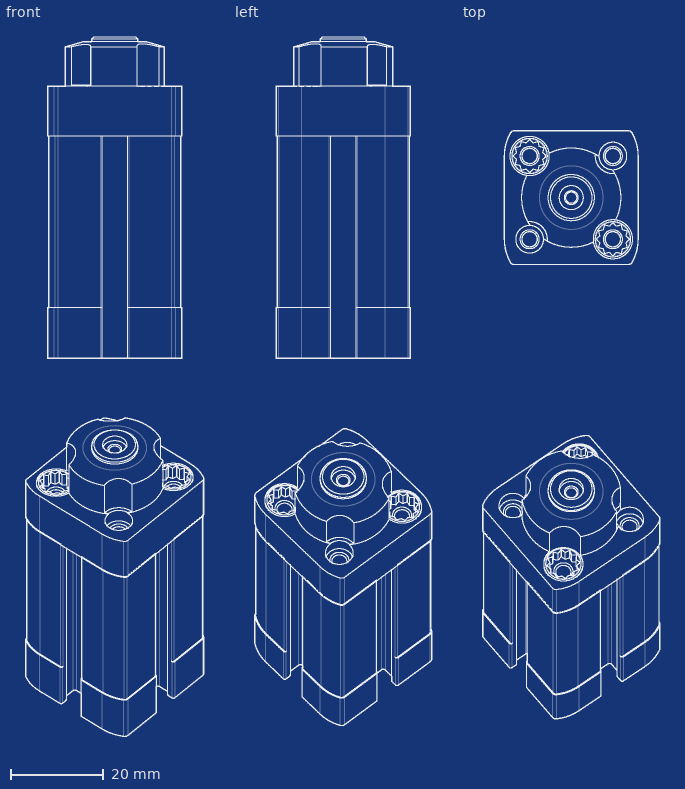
import cadquery as cq
import math

width = 29.0
total_height = 69.5
half_width = width / 2

cap_height = 11.0
head_height = 10.85
head_top = 58.9
head_bottom = head_top - head_height
tube_inset = 0.2

bolt_spacing = 18.0
bolt_offset = bolt_spacing / 2
side_arc_radius = 10.0
corner_radius = 1.0

slot_mouth_width = 5.4
slot_inner_width = 7.15
slot_depth = 5.35
slot_lip = 1.75
slot_mouth_radius = 0.4
slot_floor_radius = 0.55
slot_angles = (0, 90, 180, 270)

collar_diameter = 21.5
collar_flat_diameter = 13.75
collar_top = 68.45
collar_edge = 67.35
access_notch_diameter = 7.65
access_notch_floor = 0.2

bolt_hole_diameter = 3.3
bolt_countersink_diameter = 4.1
counterbore_diameter = 6.0
counterbore_depth = 3.0
screw_head_diameter = 8.5
screw_face_diameter = 7.65
screw_chamfer_depth = 0.5
socket_square = 5.1
socket_point_pitch = 30
socket_point_diameter = 7.1
socket_countersink_diameter = 7.4
socket_countersink_depth = 0.2
socket_depth = 3.35
counterbored_corners = ((-1, -1), (1, 1))
screw_corners = ((-1, 1), (1, -1))

rod_diameter = 10.0
rod_face_diameter = 9.0
rod_chamfer_height = 0.5
rod_bottom = head_bottom
rod_recess_diameter = 5.2
rod_recess_depth = 1.4
rod_hole_diameter = 2.4
rod_countersink_diameter = 3.0
rod_hole_depth = 6.95
drill_tip_angle = 118


def corner_at(signs):
    return (signs[0] * bolt_offset, signs[1] * bolt_offset)


def cylinder(diameter, bottom, top, center=(0, 0)):
    return (
        cq.Workplane("XY", origin=(center[0], center[1], bottom))
        .circle(diameter / 2)
        .extrude(top - bottom)
    )


def cone(bottom_diameter, top_diameter, bottom, top, center=(0, 0)):
    start = cq.Vector(center[0], center[1], bottom)
    solid = cq.Solid.makeCone(
        bottom_diameter / 2, top_diameter / 2, top - bottom, pnt=start, dir=cq.Vector(0, 0, 1)
    )
    return cq.Workplane(obj=solid)


def quarter_outline():
    """Points of the outline in the +X +Y quarter, from the side flat to the back flat."""
    arc_x = half_width - side_arc_radius
    arc_y = bolt_offset
    center_distance = side_arc_radius - corner_radius
    meet = math.asin((half_width - corner_radius - arc_y) / center_distance)
    corner_x = arc_x + center_distance * math.cos(meet)
    corner_y = half_width - corner_radius

    def on_arc(x, y, radius, angle):
        return (x + radius * math.cos(angle), y + radius * math.sin(angle))

    return [
        (half_width, arc_y),
        on_arc(arc_x, arc_y, side_arc_radius, meet / 2),
        on_arc(arc_x, arc_y, side_arc_radius, meet),
        on_arc(corner_x, corner_y, corner_radius, (meet + math.pi / 2) / 2),
        (corner_x, half_width),
    ]


def outline_prism(bottom, top, inset=0.0):
    quarter = quarter_outline()
    profile = cq.Workplane("XY", origin=(0, 0, bottom)).moveTo(half_width, -bolt_offset)
    for x_sign, y_sign in ((1, 1), (-1, 1), (-1, -1), (1, -1)):
        points = [(x_sign * x, y_sign * y) for x, y in quarter]
        if x_sign != y_sign:
            points.reverse()
        start, side_mid, meet, corner_mid, end = points
        profile = profile.lineTo(*start)
        profile = profile.threePointArc(side_mid, meet)
        profile = profile.threePointArc(corner_mid, end)
    profile = profile.close()
    if inset:
        profile = profile.offset2D(-inset)
    return profile.extrude(top - bottom)


def slot_cutter(face, bottom, top):
    """Undercut slot open toward +X, with its rounded mouth ending on the plane x = face."""
    height = top - bottom
    floor = half_width - slot_depth
    lip_back = half_width - slot_lip
    half_mouth = slot_mouth_width / 2
    flare = half_mouth + slot_mouth_radius
    chamber = (
        cq.Workplane("XY", origin=(floor, 0, bottom))
        .rect(lip_back - floor, slot_inner_width)
        .extrude(height)
        .translate(((lip_back - floor) / 2, 0, 0))
        .edges("|Z and <X")
        .fillet(slot_floor_radius)
    )
    mouth_start = face - slot_mouth_radius
    bulge = slot_mouth_radius * (1 - math.sqrt(0.5))
    mouth = (
        cq.Workplane("XY", origin=(0, 0, bottom))
        .moveTo(floor, -half_mouth)
        .lineTo(mouth_start, -half_mouth)
        .threePointArc((face - bulge, -half_mouth - bulge), (face, -flare))
        .lineTo(face, flare)
        .threePointArc((face - bulge, half_mouth + bulge), (mouth_start, half_mouth))
        .lineTo(floor, half_mouth)
        .close()
        .extrude(height)
    )
    return chamber.union(mouth)


def slotted_prism(bottom, top, inset=0.0):
    prism = outline_prism(bottom, top, inset)
    cutter = slot_cutter(half_width - inset, bottom, top)
    for angle in slot_angles:
        prism = prism.cut(cutter.rotate((0, 0, 0), (0, 0, 1), angle))
    return prism


def make_collar():
    collar = cylinder(collar_diameter, head_top, collar_edge)
    collar = collar.union(cone(collar_diameter, collar_flat_diameter, collar_edge, collar_top))
    for signs in counterbored_corners:
        notch_bottom = head_top + access_notch_floor
        collar = collar.cut(cylinder(access_notch_diameter, notch_bottom, collar_top, corner_at(signs)))
    for signs in screw_corners:
        collar = collar.cut(cylinder(screw_head_diameter, head_top, collar_top, corner_at(signs)))
    return collar


def bolt_hole(floor, center):
    """Through hole with a 45 degree countersink at the given floor."""
    sink_depth = (bolt_countersink_diameter - bolt_hole_diameter) / 2
    hole = cylinder(bolt_hole_diameter, 0, floor, center)
    return hole.union(
        cone(bolt_hole_diameter, bolt_countersink_diameter, floor - sink_depth, floor, center)
    )


def counterbored_hole(center):
    floor = head_top - counterbore_depth
    bore = cylinder(counterbore_diameter, floor, head_top + access_notch_floor, center)
    return bore.union(bolt_hole(floor, center))


def socket_cutter(bottom, top, center):
    """Triple-square socket: three squares, each turned by one point pitch, with their points cut off."""
    square = cq.Workplane("XY").rect(socket_square, socket_square).extrude(top - bottom)
    star = square
    for angle in (socket_point_pitch, 2 * socket_point_pitch):
        star = star.union(square.rotate((0, 0, 0), (0, 0, 1), angle))
    star = star.rotate((0, 0, 0), (0, 0, 1), socket_point_pitch / 2)
    star = star.translate((center[0], center[1], bottom))
    return star.intersect(cylinder(socket_point_diameter, bottom, top, center))


def screw_recess(center):
    """Beveled edge of a flush screw head, its triple-square socket and the hole below."""
    floor = head_top - socket_depth
    bevel_bottom = head_top - screw_chamfer_depth
    bevel = cylinder(screw_head_diameter, bevel_bottom, head_top, center).cut(
        cone(screw_head_diameter, screw_face_diameter, bevel_bottom, head_top, center)
    )
    recess = bevel.union(bolt_hole(floor, center))
    recess = recess.union(socket_cutter(floor, head_top, center))
    ridge_diameter = socket_square / math.cos(math.radians(socket_point_pitch))
    countersink = cone(
        ridge_diameter, socket_countersink_diameter, head_top - socket_countersink_depth, head_top, center
    )
    return recess.union(countersink)


def make_housing():
    housing = slotted_prism(0, cap_height)
    housing = housing.union(slotted_prism(cap_height, head_bottom, tube_inset))
    housing = housing.union(outline_prism(head_bottom, head_top))
    housing = housing.union(make_collar())
    for signs in counterbored_corners:
        housing = housing.cut(counterbored_hole(corner_at(signs)))
    for signs in screw_corners:
        housing = housing.cut(screw_recess(corner_at(signs)))
    return housing.cut(cylinder(rod_diameter, rod_bottom, collar_top))


def make_rod():
    edge = total_height - rod_chamfer_height
    rod = cylinder(rod_diameter, rod_bottom, edge)
    rod = rod.union(cone(rod_diameter, rod_face_diameter, edge, total_height))

    recess_floor = total_height - rod_recess_depth
    hole_bottom = recess_floor - rod_hole_depth
    sink_depth = (rod_countersink_diameter - rod_hole_diameter) / 2
    tip_depth = rod_hole_diameter / 2 / math.tan(math.radians(drill_tip_angle / 2))
    rod = rod.cut(cylinder(rod_recess_diameter, recess_floor, total_height))
    rod = rod.cut(cylinder(rod_hole_diameter, hole_bottom, recess_floor))
    rod = rod.cut(cone(rod_hole_diameter, rod_countersink_diameter, recess_floor - sink_depth, recess_floor))
    return rod.cut(cone(0, rod_hole_diameter, hole_bottom - tip_depth, hole_bottom))


housing = make_housing()
rod = make_rod()

result = cq.Compound.makeCompound([housing.val(), rod.val()])